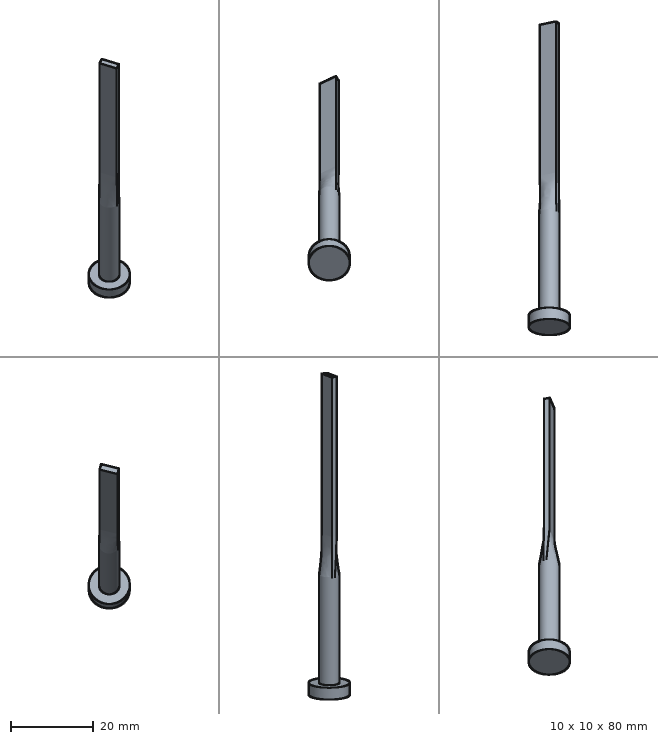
import cadquery as cq

total_length = 80.0
head_diameter = 10.0
head_thickness = 3.0
shaft_diameter = 5.0
blade_width = 4.5
blade_thickness = 1.5
blade_length = 40.0
transition_length = 10.0

blade_base = total_length - blade_length
shaft_top = blade_base - transition_length


def make_head():
    """Flat round head at the bottom of the pin."""
    return cq.Workplane("XY").circle(head_diameter / 2).extrude(head_thickness)


def make_shaft():
    """Round shaft rising from the head."""
    return cq.Workplane("XY").circle(shaft_diameter / 2).extrude(shaft_top)


def make_transition():
    """Lofted neck that blends the round shaft into the rectangular blade."""
    return (
        cq.Workplane("XY")
        .workplane(offset=shaft_top)
        .circle(shaft_diameter / 2)
        .workplane(offset=transition_length)
        .rect(blade_width, blade_thickness)
        .loft()
    )


def make_blade():
    """Flat rectangular blade forming the upper half of the pin."""
    return (
        cq.Workplane("XY")
        .workplane(offset=blade_base)
        .rect(blade_width, blade_thickness)
        .extrude(blade_length)
    )


result = make_head().union(make_shaft()).union(make_transition()).union(make_blade())